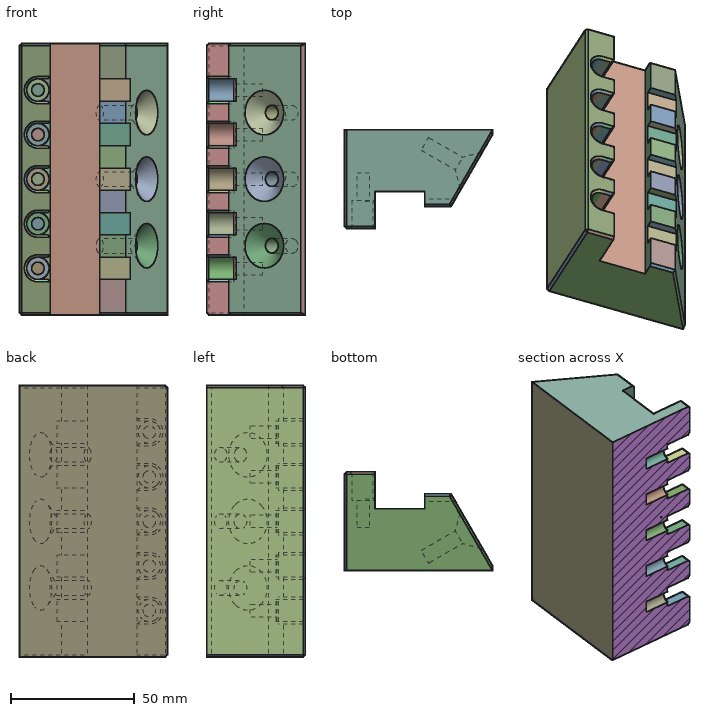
import cadquery as cq
import math

width = 60.0
depth = 40.0
height = 110.0

leg_width = 12.4
channel_width = 20.0
channel_floor_y = 15.0
lip_face_y = 8.9
lip_end_x = 43.1
slope_angle = 60.0
edge_chamfer = 1.0
channel_end_x = leg_width + channel_width
slope_end_y = lip_face_y + (width - lip_end_x) * math.tan(math.radians(slope_angle))

station_count = 5
station_pitch = 18.0
pocket_x = 7.5
pocket_radius = 4.5
pocket_depth = 11.0
seat_depth = 0.5
screw_hole_radius = 2.5
screw_hole_depth = 11.0
notch_width = 9.0
notch_depth = 3.1

sink_count = 3
sink_pitch = 27.0
sink_x = 51.5
sink_radius = 9.0
sink_cone_angle = 90.0
bolt_hole_radius = 3.0
bolt_hole_depth = 22.0


def centred_row(count, pitch):
    """Z positions of evenly spaced features, centred on the block."""
    return [(i - (count - 1) / 2) * pitch for i in range(count)]


def make_block():
    """Extruded profile with chamfered end edges on every outer face except the back and the tip."""
    profile = [
        (0, 0),
        (leg_width, 0),
        (leg_width, channel_floor_y),
        (channel_end_x, channel_floor_y),
        (channel_end_x, lip_face_y),
        (lip_end_x, lip_face_y),
        (width, slope_end_y),
        (width, depth),
        (0, depth),
    ]
    block = cq.Workplane("XY").polyline(profile).close().extrude(height / 2, both=True)
    edge_points = [(0, 0, 0)]
    for end_z in (-height / 2, height / 2):
        edge_points += [
            (0, depth / 2, end_z),
            (leg_width / 2, 0, end_z),
            ((channel_end_x + lip_end_x) / 2, lip_face_y, end_z),
            ((lip_end_x + width) / 2, (lip_face_y + slope_end_y) / 2, end_z),
        ]
    edges = [block.edges(cq.selectors.NearestToPointSelector(p)).val() for p in edge_points]
    return block.newObject(edges).chamfer(edge_chamfer)


def leg_plane(y, z):
    """Plane at a screw station, with its normal pointing into the leg along +Y."""
    return cq.Workplane(cq.Plane(origin=(pocket_x, y, z), xDir=(1, 0, 0), normal=(0, 1, 0)))


def u_outline(plane, radius, reach):
    """Slot outline rounded on the -X side and square at `reach` on the +X side."""
    return (
        plane.moveTo(reach, radius)
        .lineTo(0, radius)
        .threePointArc((-radius, 0), (0, -radius))
        .lineTo(reach, -radius)
        .close()
    )


def make_screw_pocket(z):
    """U-shaped pocket open to the channel, with bevelled edges, a round seat and a blind hole."""
    reach = leg_width - pocket_x
    mouth_radius = pocket_radius + edge_chamfer
    pocket = u_outline(leg_plane(0, z), pocket_radius, reach).extrude(pocket_depth)
    mouth = u_outline(leg_plane(0, z), mouth_radius, reach + edge_chamfer).extrude(edge_chamfer, taper=45)
    flare = (
        leg_plane(0, z)
        .polyline(
            [
                (reach - edge_chamfer, pocket_radius),
                (reach, mouth_radius),
                (reach, -mouth_radius),
                (reach - edge_chamfer, -pocket_radius),
            ]
        )
        .close()
        .extrude(pocket_depth)
    )
    seat = leg_plane(pocket_depth, z).circle(pocket_radius).extrude(seat_depth)
    hole = leg_plane(pocket_depth + seat_depth, z).circle(screw_hole_radius).extrude(screw_hole_depth)
    return pocket.union(mouth).union(flare).union(seat).union(hole)


def make_notch(z):
    """Straight notch across the lip."""
    notch = cq.Workplane("XY").box(
        width - channel_end_x, notch_depth, notch_width, centered=(False, False, True)
    )
    return notch.translate((channel_end_x, lip_face_y, z))


def make_sink(z):
    """Countersunk blind hole square to the sloped face, its depth measured from that face."""
    slope = math.radians(slope_angle)
    sink_y = lip_face_y + (sink_x - lip_end_x) * math.tan(slope)
    inward = cq.Vector(-math.sin(slope), math.cos(slope), 0)
    centre = cq.Vector(sink_x, sink_y, z)
    cone_depth = (sink_radius - bolt_hole_radius) / math.tan(math.radians(sink_cone_angle / 2))
    cone = cq.Solid.makeCone(sink_radius, bolt_hole_radius, cone_depth, centre, inward)
    hole = cq.Solid.makeCylinder(bolt_hole_radius, bolt_hole_depth, centre, inward)
    return cq.Workplane(cone).union(cq.Workplane(hole))


result = make_block()
for station_z in centred_row(station_count, station_pitch):
    result = result.cut(make_screw_pocket(station_z)).cut(make_notch(station_z))
for sink_z in centred_row(sink_count, sink_pitch):
    result = result.cut(make_sink(sink_z))